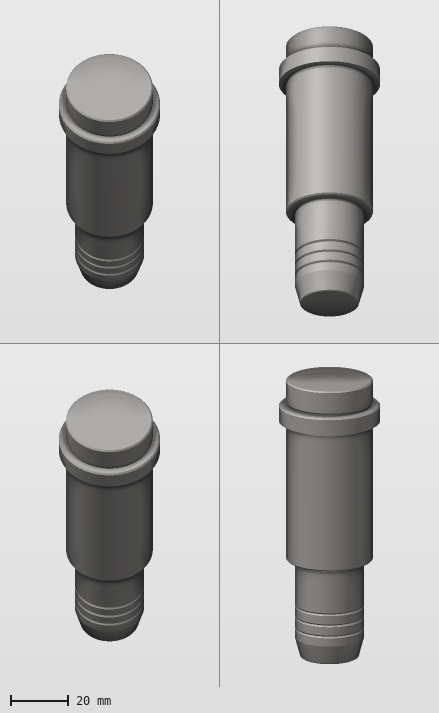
import cadquery as cq
import math

total_height = 100.0
collar_top = 91.0
collar_bottom = 85.0
body_bottom = 35.0
taper_top = 7.0

collar_radius = 17.5
body_radius = 15.0
shank_radius = 12.0
taper_angle = 15.0

edge_chamfer = 0.5
tip_chamfer = 0.3
relief_depth = 0.4
relief_flat = 0.6
relief_slope = 0.5
groove_width = 1.0
groove_depth = 0.5
round_relief_radius = 0.5
groove_centers = (10.5, 14.5, 18.5)

tip_radius = shank_radius - taper_top * math.tan(math.radians(taper_angle))
relief_height = relief_flat + relief_slope


def turned_section(radius, bottom, top):
    """Solid cylinder about Z between two heights."""
    return cq.Workplane("XY").workplane(offset=bottom).circle(radius).extrude(top - bottom)


def relief_cutter(radius, shoulder, direction):
    """Ring undercut at a shoulder, sloping out to the full radius along direction."""
    root = radius - relief_depth
    return (
        cq.Workplane("XZ")
        .moveTo(root, shoulder)
        .lineTo(root, shoulder + direction * relief_flat)
        .lineTo(radius, shoulder + direction * relief_height)
        .lineTo(radius, shoulder)
        .close()
        .revolve(360, (0, 0, 0), (0, 1, 0))
    )


def groove_cutter(center):
    """V-shaped ring groove around the shank."""
    return (
        cq.Workplane("XZ")
        .moveTo(shank_radius, center - groove_width / 2)
        .lineTo(shank_radius - groove_depth, center)
        .lineTo(shank_radius, center + groove_width / 2)
        .close()
        .revolve(360, (0, 0, 0), (0, 1, 0))
    )


def round_relief_cutter():
    """Semicircular ring undercut where the shank meets the body."""
    return (
        cq.Workplane("XZ")
        .center(shank_radius, body_bottom - round_relief_radius)
        .circle(round_relief_radius)
        .revolve(360, (-shank_radius, 0, 0), (-shank_radius, 1, 0))
    )


tip = (
    cq.Workplane("XZ")
    .lineTo(tip_radius, 0)
    .lineTo(shank_radius, taper_top)
    .lineTo(0, taper_top)
    .close()
    .revolve(360, (0, 0, 0), (0, 1, 0))
    .faces("<Z")
    .chamfer(tip_chamfer)
)
shank = turned_section(shank_radius, taper_top, body_bottom)
shank = shank.cut(round_relief_cutter())
for groove_center in groove_centers:
    shank = shank.cut(groove_cutter(groove_center))

body = turned_section(body_radius, body_bottom, total_height)
body = body.faces("<Z or >Z").chamfer(edge_chamfer)
body = body.cut(relief_cutter(body_radius, collar_bottom, -1))
body = body.cut(relief_cutter(body_radius, collar_top, 1))

collar = turned_section(collar_radius, collar_bottom, collar_top).faces(">Z").chamfer(edge_chamfer)

result = tip.union(shank).union(body).union(collar)